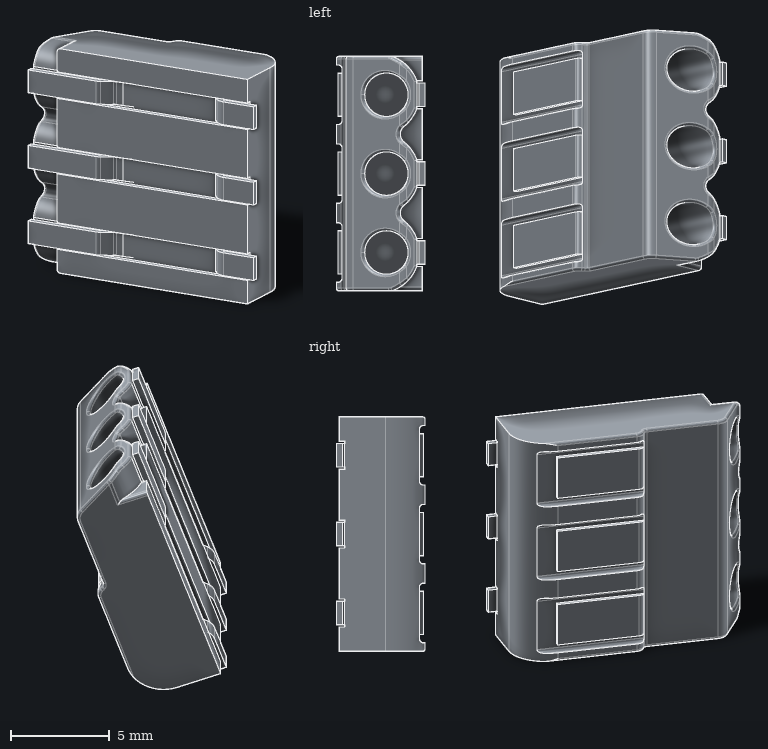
import cadquery as cq
import math


pole_count = 3
pole_pitch = 4.0
row_length = 11.9
pole_heights = [pole_pitch * (i - (pole_count - 1) / 2) for i in range(pole_count)]

housing_length = 12.67
housing_bottom = 0.15
shelf_top = 4.01
housing_top = 4.5
slope_angle = math.radians(60)
slope_foot = 1.14
riser_foot = 5.92
slope_radius = 0.7
riser_foot_radius = 0.2
riser_top_radius = 0.5
rear_radius = 2.0

nose_length = 1.6
nose_radius = 2.06
nose_centre = 2.36
valley_radius = 0.5
nose_end_radius = 0.45
recess_step_radius = 0.2
rim_radius = 0.15

entry_diameter = 2.2
entry_centre = 1.96
entry_depth = 4.58
entry_mouth_radius = 0.13

slot_width = 1.4
slot_floor = 0.42

contact_length = 13.1
contact_width = 1.2
contact_thickness = 0.33
front_bend = 4.07
front_ramp_end = 4.83
rear_bend = 11.08
inner_height = 0.55
front_ramp_angle = math.radians(26)
entry_slope_angle = math.radians(6.2)
rear_ramp_angle = math.radians(45)
front_bend_radius = 0.52
entry_bend_radius = 0.43
rear_bend_radius = 0.7

channel_width = 3.0
channel_floor = 4.22
channel_radius = 0.18
button_width = 2.2
button_top = 4.43
button_radius = 0.33
button_end = housing_length - rear_radius

pick_margin = 0.007


def slope_run(rise):
    """X distance covered by a sloping face over the given rise."""
    return rise / math.tan(slope_angle)


def edges_near(body, x, y):
    """Edges along Z that pass through the given point of the side profile."""
    corner = cq.selectors.BoxSelector(
        (x - pick_margin, y - pick_margin, -row_length),
        (x + pick_margin, y + pick_margin, row_length),
    )
    return body.edges("|Z").edges(corner)


def centred_prism(outline, width):
    """Closed outline extruded equally to both sides."""
    return outline.close().extrude(width / 2, both=True)


def make_blank():
    """Housing profile with its corners rounded, still square at the rear."""
    shelf_start = slope_run(shelf_top - slope_foot)
    riser_end = riser_foot + slope_run(housing_top - shelf_top)
    outline = cq.Workplane("XY").polyline([
        (0, housing_bottom),
        (0, slope_foot),
        (shelf_start, shelf_top),
        (riser_foot, shelf_top),
        (riser_end, housing_top),
        (housing_length, housing_top),
        (housing_length, housing_bottom),
    ])
    blank = centred_prism(outline, row_length)
    blank = edges_near(blank, 0, slope_foot).fillet(slope_radius)
    blank = edges_near(blank, shelf_start, shelf_top).fillet(slope_radius)
    blank = edges_near(blank, riser_foot, shelf_top).fillet(riser_foot_radius)
    return edges_near(blank, riser_end, housing_top).fillet(riser_top_radius)


def make_nose_recess():
    """Space under the nose: outside one round lobe per pole, with rounded valleys between lobes."""
    half_pitch = pole_pitch / 2
    centre_distance = nose_radius + valley_radius
    valley_centre = nose_centre - math.sqrt(centre_distance**2 - half_pitch**2)
    valley_top = valley_centre + valley_radius
    touch = nose_radius / centre_distance
    touch_offset = half_pitch * touch
    touch_height = nose_centre + (valley_centre - nose_centre) * touch
    lobe_bottom = nose_centre - nose_radius
    end = row_length / 2
    end_height = nose_centre - math.sqrt(nose_radius**2 - (end - pole_heights[-1]) ** 2)

    outline = cq.Workplane("YZ").moveTo(0, -end).lineTo(end_height, -end)
    for pole in pole_heights[:-1]:
        valley = pole + half_pitch
        outline = outline.threePointArc((lobe_bottom, pole), (touch_height, pole + touch_offset))
        outline = outline.threePointArc(
            (valley_top, valley), (touch_height, valley + half_pitch - touch_offset)
        )
    outline = outline.threePointArc((lobe_bottom, pole_heights[-1]), (end_height, end))
    return outline.lineTo(0, end).close().extrude(nose_length)


def round_recess_ends(body):
    """Round the end-face edges of the nose recess."""
    for end in (-row_length / 2, row_length / 2):
        on_end_face = cq.selectors.BoxSelector(
            (0, housing_bottom, end - pick_margin),
            (nose_length + pick_margin, nose_centre, end + pick_margin),
        )
        body = body.edges("|X").edges(on_end_face).fillet(nose_end_radius)
        body = body.edges("|Y").edges(on_end_face).fillet(recess_step_radius)
    return body


def make_slot(pole):
    """Slot that runs along the whole board side and lets one contact lie in it."""
    slot = cq.Workplane("XY").box(
        housing_length, slot_floor, slot_width, centered=(False, False, True)
    )
    return slot.translate((0, 0, pole))


def round_front_rim(body):
    """Round the rim of the front, which runs on tangentially along both end faces to the rear."""
    below_arc = slope_foot - slope_radius * math.tan((math.pi / 2 - slope_angle) / 2) - pick_margin
    box = cq.selectors.BoxSelector((-pick_margin, 0, -row_length), (pick_margin, below_arc, row_length))
    return body.edges(box).fillet(rim_radius)


def cut_entries(body):
    """Blind round wire entries with rounded mouths."""
    entry_radius = entry_diameter / 2
    entries = (
        cq.Workplane("YZ")
        .pushPoints([(entry_centre, pole) for pole in pole_heights])
        .circle(entry_radius)
        .extrude(entry_depth)
    )
    body = body.cut(entries)
    reach = entry_radius + pick_margin
    for pole in pole_heights:
        mouth = cq.selectors.BoxSelector(
            (-entry_depth / 2, entry_centre - reach, pole - reach),
            (entry_depth / 2, entry_centre + reach, pole + reach),
            boundingbox=True,
        )
        body = body.edges(mouth).fillet(entry_mouth_radius)
    return body


def make_channel(pole):
    """Channel along the top face, rounded along both sides of its floor."""
    return (
        cq.Workplane("XY")
        .box(housing_length, housing_top, channel_width, centered=(False, False, True))
        .edges("|X and <Y")
        .fillet(channel_radius)
        .translate((0, channel_floor, pole))
    )


def make_rear_envelope():
    """Block that carries the large rounding of the upper rear corner."""
    envelope = cq.Workplane("XY").box(
        housing_length, housing_top, row_length, centered=(False, False, True)
    )
    return edges_near(envelope, housing_length, housing_top).fillet(rear_radius)


def make_housing(contacts):
    """Housing with a fitting seat for every contact."""
    housing = round_recess_ends(make_blank().cut(make_nose_recess()))
    for pole in pole_heights:
        housing = housing.cut(make_slot(pole))
    housing = round_front_rim(housing)
    housing = cut_entries(housing)
    for pole in pole_heights:
        housing = housing.cut(make_channel(pole))
    housing = housing.intersect(make_rear_envelope())
    for contact in contacts:
        housing = housing.cut(contact)
    return housing.solids()


def make_contact(pole):
    """Bent strip: both ends lie below the housing and the stretch between is buried in it."""
    ramp_rise = (front_ramp_end - front_bend) * math.tan(front_ramp_angle)
    inner_start = front_ramp_end + (inner_height - ramp_rise) / math.tan(entry_slope_angle)
    inner_end = rear_bend - inner_height / math.tan(rear_ramp_angle)
    underside = [
        (0, 0),
        (front_bend, 0),
        (front_ramp_end, ramp_rise),
        (inner_start, inner_height),
        (inner_end, inner_height),
        (rear_bend, 0),
        (contact_length, 0),
    ]
    headings = [0, 0, front_ramp_angle, entry_slope_angle, 0, -rear_ramp_angle, 0, 0]
    upper_side = []
    for (x, y), before, after in zip(underside, headings, headings[1:]):
        mean = (before + after) / 2
        offset = contact_thickness / math.cos((after - before) / 2)
        upper_side.append((x - offset * math.sin(mean), y + offset * math.cos(mean)))
    contact = centred_prism(cq.Workplane("XY").polyline(underside + upper_side[::-1]), contact_width)
    contact = edges_near(contact, front_bend, 0).fillet(front_bend_radius)
    contact = edges_near(contact, front_ramp_end, ramp_rise).fillet(entry_bend_radius)
    contact = edges_near(contact, rear_bend, 0).fillet(rear_bend_radius)
    return contact.translate((0, 0, pole))


def make_button(pole):
    """Flat button on the channel floor, with a rounded sloping front in line with the riser."""
    button_start = riser_foot + slope_run(channel_floor - shelf_top)
    front_top = button_start + slope_run(button_top - channel_floor)
    outline = cq.Workplane("XY").polyline([
        (button_start, channel_floor),
        (front_top, button_top),
        (button_end, button_top),
        (button_end, channel_floor),
    ])
    button = centred_prism(outline, button_width)
    button = edges_near(button, front_top, button_top).fillet(button_radius)
    return button.translate((0, 0, pole))


contacts = [make_contact(pole) for pole in pole_heights]
buttons = [make_button(pole) for pole in pole_heights]
housing = make_housing(contacts)

result = cq.Compound.makeCompound(
    [housing.val()] + [part.val() for part in contacts + buttons]
)